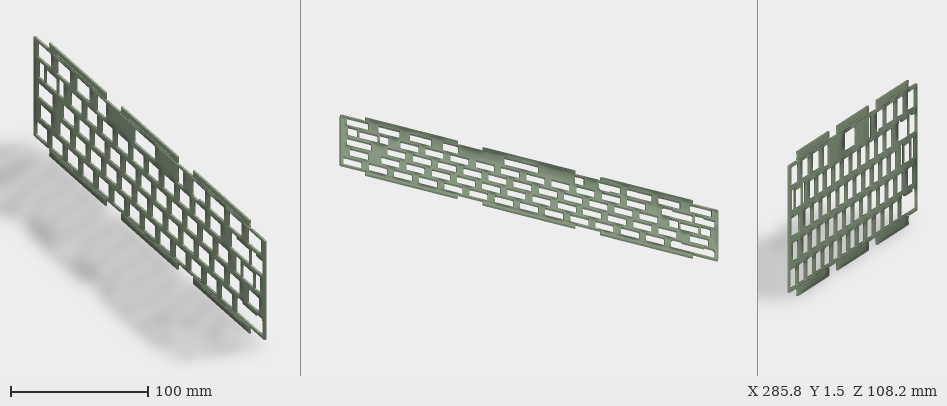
import cadquery as cq


KEY_UNIT = 19.05
UNITS_WIDE = 15
UNITS_TALL = 5
THICKNESS = 1.5
PLATE_WIDTH = UNITS_WIDE * KEY_UNIT
PLATE_HEIGHT = UNITS_TALL * KEY_UNIT
PLATE_TOP = PLATE_HEIGHT / 2
PLATE_CORNER_RADIUS = 1.0

SWITCH_SIZE = 14.0
OPENING_CORNER_RADIUS = 0.55

STABILIZER_WIDTH = 7.0
STABILIZER_LONG_REACH = 9.0
STABILIZER_SHORT_REACH = 7.0
SHORT_KEY_SPACING = 11.938
SPACE_BAR_6_25U_SPACING = 50.0
SPACE_BAR_7U_SPACING = 57.15

OVERALL_HEIGHT = 108.25
TAB_HEIGHT = (OVERALL_HEIGHT - PLATE_HEIGHT) / 2
TAB_WIDTH = 70.0
TAB_PITCH = 88.9
TAB_BRIDGE_WIDTH = 10.0
RELIEF_DEPTH = 0.9
RELIEF_OVERHANG = 1.0
FLEX_SLOT_LENGTH = 50.0
FLEX_BEAM_HEIGHT = 1.5
FLEX_SLOT_HEIGHT = 0.7
NOTCH_DEPTH = 1.0
NOTCH_HEIGHT = 3.0

NUMBER_ROW = [0.5 + column for column in range(13)] + [13.5, 14.0, 14.5]
TAB_ROW = [0.75] + [2.0 + column for column in range(12)] + [14.25]
HOME_ROW = [0.625, 0.875] + [2.25 + column for column in range(11)] + [13.875]
SHIFT_ROW = [1.125] + [2.75 + column for column in range(10)] + [13.125, 13.625, 14.5]
SPACE_ROW_6_25U = [0.625, 1.875, 3.125, 6.875, 10.625, 11.875, 13.125, 14.375]
SPACE_ROW_7U = [0.75, 2.0, 3.25, 7.5, 11.75, 13.0, 14.25]
SPACE_ROW_EXTRA = [10.75, 12.0]
SPACE_ROW = SPACE_ROW_6_25U + SPACE_ROW_7U + SPACE_ROW_EXTRA
ROWS = [NUMBER_ROW, TAB_ROW, HOME_ROW, SHIFT_ROW, SPACE_ROW]

STABILIZED_KEYS = [
    (0, 14.0, SHORT_KEY_SPACING, 1),
    (2, 13.875, SHORT_KEY_SPACING, 1),
    (3, 1.125, SHORT_KEY_SPACING, 1),
    (3, 13.625, SHORT_KEY_SPACING, 1),
    (4, 6.875, SPACE_BAR_6_25U_SPACING, -1),
    (4, 7.5, SPACE_BAR_7U_SPACING, -1),
]


def block(x, z, width, height):
    """A block centred at (x, z), as thick as the plate."""
    return cq.Workplane("XY").box(width, THICKNESS, height).translate((x, 0, z))


def rounded_block(x, z, width, height, radius):
    """A block with its four corners along Y rounded."""
    return block(x, z, width, height).edges("|Y").fillet(radius)


def key_x(units):
    """X of a place given in key units from the left edge."""
    return units * KEY_UNIT - PLATE_WIDTH / 2


def row_z(row):
    """Z of the centre line of a row, counted from the bottom."""
    return (row - (UNITS_TALL - 1) / 2) * KEY_UNIT


def switch_openings():
    return [
        rounded_block(key_x(units), row_z(row), SWITCH_SIZE, SWITCH_SIZE, OPENING_CORNER_RADIUS)
        for row, centres in enumerate(ROWS)
        for units in centres
    ]


def stabilizer_openings():
    height = STABILIZER_LONG_REACH + STABILIZER_SHORT_REACH
    shift = (STABILIZER_LONG_REACH - STABILIZER_SHORT_REACH) / 2
    openings = []
    for row, units, spacing, side in STABILIZED_KEYS:
        z = row_z(row) + side * shift
        for end in (-1, 1):
            x = key_x(units) + end * spacing
            openings.append(rounded_block(x, z, STABILIZER_WIDTH, height, OPENING_CORNER_RADIUS))
    return openings


def tab(x, edge):
    """A tab on the top (edge = 1) or bottom (edge = -1) edge of the plate."""
    return block(x, edge * (PLATE_TOP + TAB_HEIGHT / 2), TAB_WIDTH, TAB_HEIGHT)


def tab_cutouts(x, edge):
    """The flex slot across a tab and the two reliefs either side of its bridge."""
    relief_end = TAB_WIDTH / 2 + RELIEF_OVERHANG
    relief_length = relief_end - TAB_BRIDGE_WIDTH / 2
    relief_z = edge * (PLATE_TOP - RELIEF_DEPTH / 2)
    slot_z = edge * (PLATE_TOP + FLEX_BEAM_HEIGHT + FLEX_SLOT_HEIGHT / 2)
    cutouts = [block(x, slot_z, FLEX_SLOT_LENGTH, FLEX_SLOT_HEIGHT)]
    for end in (-1, 1):
        relief_x = x + end * (relief_end - relief_length / 2)
        cutouts.append(block(relief_x, relief_z, relief_length, RELIEF_DEPTH))
    return cutouts


def end_notches(edge):
    """Notches in the outer ends of the two outermost tabs of one edge."""
    tab_end = TAB_PITCH + TAB_WIDTH / 2
    notch_z = edge * (PLATE_TOP + FLEX_BEAM_HEIGHT + NOTCH_HEIGHT / 2)
    return [
        block(end * (tab_end - NOTCH_DEPTH / 2), notch_z, NOTCH_DEPTH, NOTCH_HEIGHT)
        for end in (-1, 1)
    ]


tabs = []
cutouts = switch_openings() + stabilizer_openings()
for plate_edge in (-1, 1):
    for tab_index in (-1, 0, 1):
        tab_x = tab_index * TAB_PITCH
        tabs.append(tab(tab_x, plate_edge))
        cutouts += tab_cutouts(tab_x, plate_edge)
    cutouts += end_notches(plate_edge)

plate = rounded_block(0, 0, PLATE_WIDTH, PLATE_HEIGHT, PLATE_CORNER_RADIUS).val()
plate = plate.fuse(*[each.val() for each in tabs])
plate = plate.cut(*[each.val() for each in cutouts]).clean()
result = cq.Workplane(plate.Solids()[0])